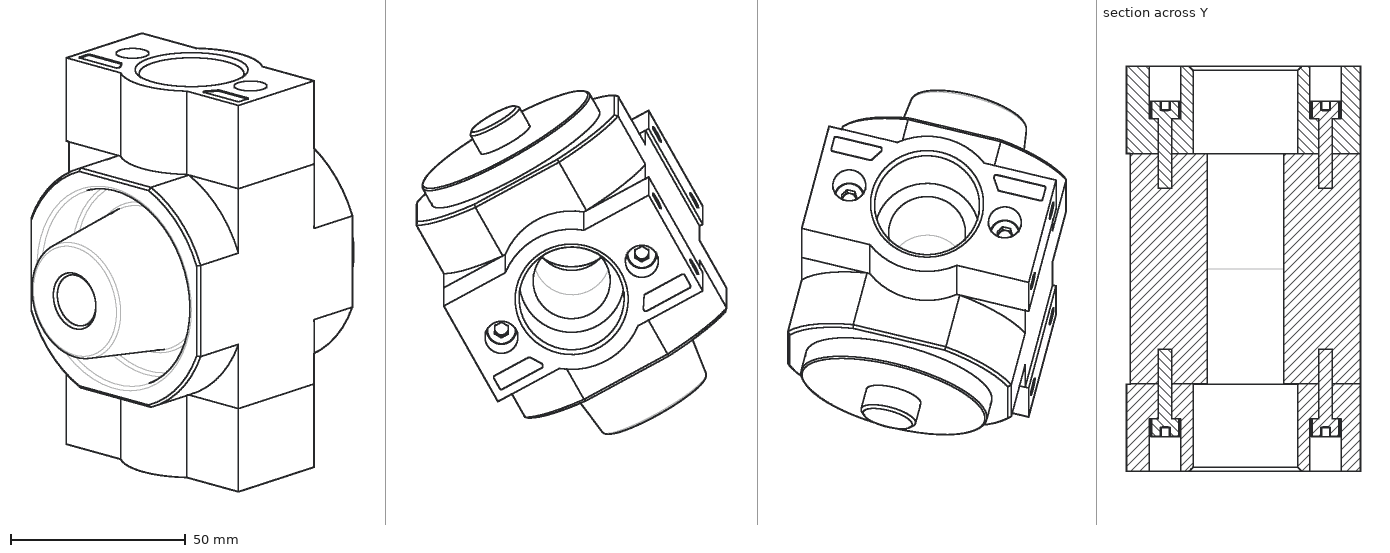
import cadquery as cq
import math

HEIGHT = 116.0
HOUSING_SIDE = 66.0
HALF_SIDE = HOUSING_SIDE / 2
CAP_HEIGHT = HEIGHT / 2 - HALF_SIDE

FRONT_Y = -32.8
REAR_Y = HALF_SIDE
BAND_HALF_DEPTH = 16.0
BARREL_RADIUS = 35.7
BARREL_CHAMFER = 0.8
FLOW_BORE_DIAMETER = 22.0

RECESS_RADIUS = 29.0
RECESS_DEPTH = 14.5
RECESS_FLOOR_Y = FRONT_Y + RECESS_DEPTH
RECESS_MOUTH_FILLET = 1.0
RECESS_FLOOR_FILLET = 0.9
NOZZLE_TIP_Y = -49.4
NOZZLE_TIP_DIAMETER = 34.0
NOZZLE_TAPER_ANGLE = 8.0
NOZZLE_TAPER = math.tan(math.radians(NOZZLE_TAPER_ANGLE))
NOZZLE_TIP_RADIUS = NOZZLE_TIP_DIAMETER / 2
NOZZLE_ROOT_RADIUS = NOZZLE_TIP_RADIUS + NOZZLE_TAPER * (RECESS_FLOOR_Y - NOZZLE_TIP_Y)
NOZZLE_TIP_FILLET = 0.9
NOZZLE_ROOT_FILLET = 0.9
NOZZLE_HOLE_DIAMETER = 15.0
NOZZLE_HOLE_DEPTH = 23.2
NOZZLE_HOLE_CHAMFER = 0.8

COVER_DIAMETER = 55.0
COVER_THICKNESS = 6.3
COVER_CHAMFER = 0.5
PIN_DIAMETER = 16.1
PIN_END_Y = 46.2
PIN_CHAMFER = 0.8

CAP_LENGTH = 67.0
CAP_RIGHT = HALF_SIDE
CAP_LEFT = CAP_RIGHT - CAP_LENGTH
CAP_BULGE_RADIUS = 20.5
CAP_BORE_DIAMETER = 30.0
CAP_BORE_CHAMFER = 1.2
SIDE_HOLE_DIAMETER = 4.2
SIDE_HOLE_CHAMFER = 0.41
SIDE_HOLE_DEPTH = 10.0
SIDE_HOLE_Y = 11.0
DRILL_POINT_ANGLE = 118.0

LABEL_DEPTH = 0.3
LABEL_INSET = 2.3
LABEL_INNER_X = 16.6
LABEL_NEAR_Y = -8.9
LABEL_FAR_Y = -13.5
LABEL_SLANT_X = 2.2
LABEL_SLANT_Y = 3.5
LABEL_FILLET = 0.6

SCREW_X = 23.0
HEAD_DIAMETER = 8.5
HEAD_HEIGHT = 5.0
HEAD_CHAMFER = 0.2
SHANK_DIAMETER = 5.0
SHANK_LENGTH = 20.0
SOCKET_FLATS = 4.0
SOCKET_DEPTH = 2.5
COUNTERBORE_DIAMETER = 9.4
SEAT_Z = HEIGHT / 2 - 15.0

PICK_MARGIN = 0.1


def cone_point(radius):
    """Depth of a drill point of the given radius."""
    return radius / math.tan(math.radians(DRILL_POINT_ANGLE / 2))


def y_cylinder(diameter, y_start, y_end):
    """Cylinder on the Y axis between two Y positions."""
    return cq.Workplane("XZ", origin=(0, y_start, 0)).circle(diameter / 2).extrude(y_start - y_end)


def drilled_hole(diameter, depth, chamfer):
    """Blind hole cutter along +X with a chamfered mouth at X = 0 and a drill point."""
    radius = diameter / 2
    return (
        cq.Workplane("XY")
        .moveTo(0, 0)
        .lineTo(0, radius + chamfer)
        .lineTo(chamfer, radius)
        .lineTo(depth, radius)
        .lineTo(depth + cone_point(radius), 0)
        .close()
        .revolve(360, (0, 0, 0), (1, 0, 0))
    )


def make_screw(x):
    """Socket head screw pointing down, its head seated at SEAT_Z."""
    head = cq.Workplane("XY").circle(HEAD_DIAMETER / 2).extrude(HEAD_HEIGHT)
    head = head.faces(">Z").edges().chamfer(HEAD_CHAMFER)
    shank = cq.Workplane("XY").circle(SHANK_DIAMETER / 2).extrude(-SHANK_LENGTH)
    socket_corners = SOCKET_FLATS / math.cos(math.pi / 6)
    socket = (
        cq.Workplane("XY", origin=(0, 0, HEAD_HEIGHT - SOCKET_DEPTH))
        .polygon(6, socket_corners)
        .extrude(SOCKET_DEPTH)
    )
    point_radius = SOCKET_FLATS / 2
    point = cq.Workplane(
        cq.Solid.makeCone(
            point_radius,
            0,
            cone_point(point_radius),
            pnt=cq.Vector(0, 0, HEAD_HEIGHT - SOCKET_DEPTH),
            dir=cq.Vector(0, 0, -1),
        )
    )
    return head.union(shank).cut(socket).cut(point).translate((x, 0, SEAT_Z))


def make_screw_hole(x):
    """Cutter for one upper screw: counterbore down to the seat and a bore that fits the shank."""
    seat = cq.Workplane("XY", origin=(x, 0, SEAT_Z))
    counterbore = seat.circle(COUNTERBORE_DIAMETER / 2).extrude(HEIGHT / 2 - SEAT_Z)
    shank_bore = seat.circle(SHANK_DIAMETER / 2).extrude(-SHANK_LENGTH)
    return counterbore.union(shank_bore)


def label_outline(side):
    """Label recess outline; side is -1 at the -X end of the cap and 1 at the +X end."""
    outer = (-CAP_LEFT if side < 0 else CAP_RIGHT) - LABEL_INSET
    points = [
        (outer, LABEL_NEAR_Y),
        (outer, LABEL_FAR_Y),
        (LABEL_INNER_X, LABEL_FAR_Y),
        (LABEL_INNER_X, LABEL_NEAR_Y - LABEL_SLANT_Y),
        (LABEL_INNER_X + LABEL_SLANT_X, LABEL_NEAR_Y),
    ]
    return [(side * x, y) for x, y in points]


def make_cap():
    """Upper port cap: a block with a round bulge around its bore."""
    block = cq.Workplane("XY", origin=(0, 0, HALF_SIDE)).moveTo((CAP_LEFT + CAP_RIGHT) / 2, 0)
    block = block.rect(CAP_LENGTH, 2 * BAND_HALF_DEPTH).extrude(CAP_HEIGHT)
    bulge = cq.Workplane("XY", origin=(0, 0, HALF_SIDE)).circle(CAP_BULGE_RADIUS).extrude(CAP_HEIGHT)
    cap = block.union(bulge)

    bore = cq.Workplane("XY", origin=(0, 0, HALF_SIDE)).circle(CAP_BORE_DIAMETER / 2).extrude(CAP_HEIGHT)
    cap = cap.cut(bore)
    cap = cap.faces(">Z").edges(cq.selectors.RadiusNthSelector(0)).chamfer(CAP_BORE_CHAMFER)

    for side in (-1, 1):
        label = (
            cq.Workplane("XY", origin=(0, 0, HEIGHT / 2 - LABEL_DEPTH))
            .polyline(label_outline(side))
            .close()
            .extrude(LABEL_DEPTH)
            .edges("|Z")
            .fillet(LABEL_FILLET)
        )
        side_hole = drilled_hole(SIDE_HOLE_DIAMETER, SIDE_HOLE_DEPTH, SIDE_HOLE_CHAMFER)
        side_hole = side_hole.translate((CAP_LEFT, side * SIDE_HOLE_Y, HALF_SIDE + CAP_HEIGHT / 2))
        cap = cap.cut(make_screw_hole(side * SCREW_X)).cut(label).cut(side_hole)
    return cap


def make_nozzle():
    """Solid tapered nozzle, from the recess floor out to its tip."""
    nozzle = (
        cq.Workplane("XY")
        .moveTo(0, NOZZLE_TIP_Y)
        .lineTo(NOZZLE_TIP_RADIUS, NOZZLE_TIP_Y)
        .lineTo(NOZZLE_ROOT_RADIUS, RECESS_FLOOR_Y)
        .lineTo(0, RECESS_FLOOR_Y)
        .close()
        .revolve(360, (0, 0, 0), (0, 1, 0))
    )
    return nozzle.faces("<Y").edges().fillet(NOZZLE_TIP_FILLET)


def make_recess():
    """Cutter for the round front recess, rounded at its floor."""
    recess = y_cylinder(2 * RECESS_RADIUS, FRONT_Y, RECESS_FLOOR_Y)
    return recess.faces(">Y").edges().fillet(RECESS_FLOOR_FILLET)


def make_housing():
    """Housing with the nozzle standing in its front recess, without screw holes."""
    square = cq.Workplane("XZ", origin=(0, REAR_Y, 0)).rect(HOUSING_SIDE, HOUSING_SIDE)
    square = square.extrude(REAR_Y - FRONT_Y)
    barrel = y_cylinder(2 * BARREL_RADIUS, FRONT_Y, REAR_Y).intersect(square)
    barrel = barrel.faces("<Y or >Y").edges().chamfer(BARREL_CHAMFER)
    band = cq.Workplane("XY").box(HOUSING_SIDE, 2 * BAND_HALF_DEPTH, HOUSING_SIDE)
    housing = barrel.union(band).cut(make_recess())
    smallest_circle = cq.selectors.RadiusNthSelector(0)
    housing = housing.faces("<Y").edges(smallest_circle).fillet(RECESS_MOUTH_FILLET)
    housing = housing.union(make_nozzle())

    reach = NOZZLE_ROOT_RADIUS + PICK_MARGIN
    nozzle_root = cq.selectors.BoxSelector(
        (-reach, RECESS_FLOOR_Y - PICK_MARGIN, -reach),
        (reach, RECESS_FLOOR_Y + PICK_MARGIN, reach),
        boundingbox=True,
    )
    housing = housing.edges(nozzle_root).fillet(NOZZLE_ROOT_FILLET)

    nozzle_hole = y_cylinder(NOZZLE_HOLE_DIAMETER, NOZZLE_TIP_Y, NOZZLE_TIP_Y + NOZZLE_HOLE_DEPTH)
    housing = housing.cut(nozzle_hole)
    housing = housing.faces("<Y").edges(smallest_circle).chamfer(NOZZLE_HOLE_CHAMFER)

    flow_bore = cq.Workplane("XY").circle(FLOW_BORE_DIAMETER / 2).extrude(HALF_SIDE, both=True)
    return housing.cut(flow_bore)


def make_cover_pin():
    """Round pin standing on the rear face of the housing, through the cover."""
    pin = y_cylinder(PIN_DIAMETER, REAR_Y, PIN_END_Y)
    return pin.faces(">Y").edges().chamfer(PIN_CHAMFER)


def make_cover():
    """Round rear cover with a central hole for the pin."""
    cover = y_cylinder(COVER_DIAMETER, REAR_Y, REAR_Y + COVER_THICKNESS)
    cover = cover.faces(">Y").edges().chamfer(COVER_CHAMFER)
    pin_hole = y_cylinder(PIN_DIAMETER, REAR_Y, REAR_Y + COVER_THICKNESS)
    return cover.cut(pin_hole)


upper_screws = [make_screw(side * SCREW_X) for side in (-1, 1)]
lower_screws = [screw.mirror("XY") for screw in upper_screws]
screws = upper_screws + lower_screws

upper_cap = make_cap()
lower_cap = upper_cap.mirror("XY")

housing = make_housing()
for side in (-1, 1):
    screw_hole = make_screw_hole(side * SCREW_X)
    housing = housing.cut(screw_hole).cut(screw_hole.mirror("XY"))

cover = make_cover()
pin = make_cover_pin()

bodies = [housing, upper_cap, lower_cap, cover, pin, *screws]
result = cq.Compound.makeCompound([body.val() for body in bodies])